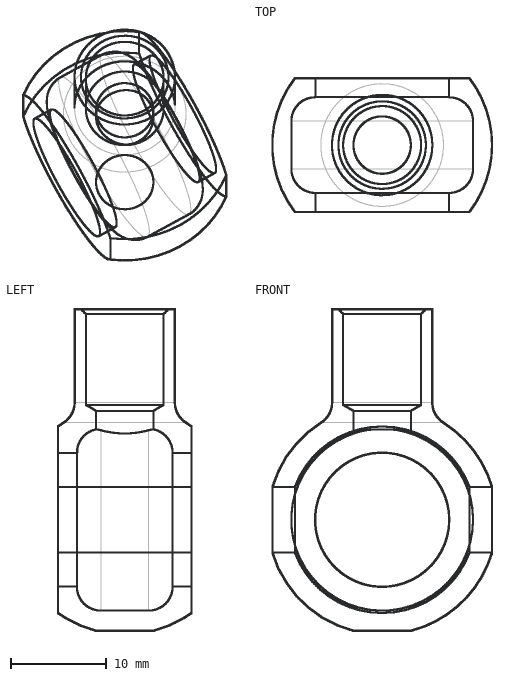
import cadquery as cq
import math

ball_radius = 12.0
waist_radius = 11.5
bottom_flat_radius = 3.0
body_width = 14.0

neck_radius = 10.5 / 2
neck_top = 22.0
neck_fillet = 2.5

socket_radius = 8.15 / 2
socket_depth = 10.0
socket_chamfer = 0.5
socket_tip_angle = 120.0
passage_radius = 6.0 / 2

cross_bore_radius = 14.0 / 2
groove_floor_width = 5.0
groove_corner_radius = 2.5
groove_radius = cross_bore_radius + groove_corner_radius


def point_on_ball(radius, side):
    """Profile point (radius, z) on the ball; side is +1 for upper, -1 for lower half."""
    return (radius, side * math.sqrt(ball_radius**2 - radius**2))


def ball_with_neck():
    """Outer shape, turned about Z and cut to width by two flats."""
    blend_x = neck_radius + neck_fillet
    blend_reach = ball_radius + neck_fillet
    blend_z = math.sqrt(blend_reach**2 - blend_x**2)
    blend_foot_radius = blend_x * ball_radius / blend_reach

    bottom_edge = point_on_ball(bottom_flat_radius, -1)
    profile = (
        cq.Workplane("XZ")
        .moveTo(0, bottom_edge[1])
        .lineTo(*bottom_edge)
        .radiusArc(point_on_ball(waist_radius, -1), -ball_radius)
        .lineTo(*point_on_ball(waist_radius, 1))
        .radiusArc(point_on_ball(blend_foot_radius, 1), -ball_radius)
        .radiusArc((neck_radius, blend_z), neck_fillet)
        .lineTo(neck_radius, neck_top)
        .lineTo(0, neck_top)
        .close()
    )
    turned = profile.revolve(360, (0, 0, 0), (0, 1, 0))
    height_limit = 2 * (neck_top + ball_radius)
    slab = cq.Workplane("XY").box(2 * ball_radius, body_width, height_limit)
    return turned.intersect(slab)


def neck_bore():
    """Chamfered socket with a conical floor and a narrower passage down to the cross bore."""
    socket_floor = neck_top - socket_depth
    cone_height = (socket_radius - passage_radius) / math.tan(math.radians(socket_tip_angle / 2))
    profile = (
        cq.Workplane("XZ")
        .lineTo(passage_radius, 0)
        .lineTo(passage_radius, socket_floor - cone_height)
        .lineTo(socket_radius, socket_floor)
        .lineTo(socket_radius, neck_top - socket_chamfer)
        .lineTo(socket_radius + socket_chamfer, neck_top)
        .lineTo(0, neck_top)
        .close()
    )
    return profile.revolve(360, (0, 0, 0), (0, 1, 0))


def cross_bore():
    """Bore along Y that widens into a groove with a straight floor and quarter-round sides."""
    face = body_width / 2
    floor_edge = groove_floor_width / 2
    groove_mouth = floor_edge + groove_corner_radius
    profile = (
        cq.Workplane("XY")
        .moveTo(0, -face)
        .lineTo(cross_bore_radius, -face)
        .lineTo(cross_bore_radius, -groove_mouth)
        .radiusArc((groove_radius, -floor_edge), -groove_corner_radius)
        .lineTo(groove_radius, floor_edge)
        .radiusArc((cross_bore_radius, groove_mouth), -groove_corner_radius)
        .lineTo(cross_bore_radius, face)
        .lineTo(0, face)
        .close()
    )
    return profile.revolve(360, (0, 0, 0), (0, 1, 0))


result = ball_with_neck().cut(neck_bore()).cut(cross_bore())